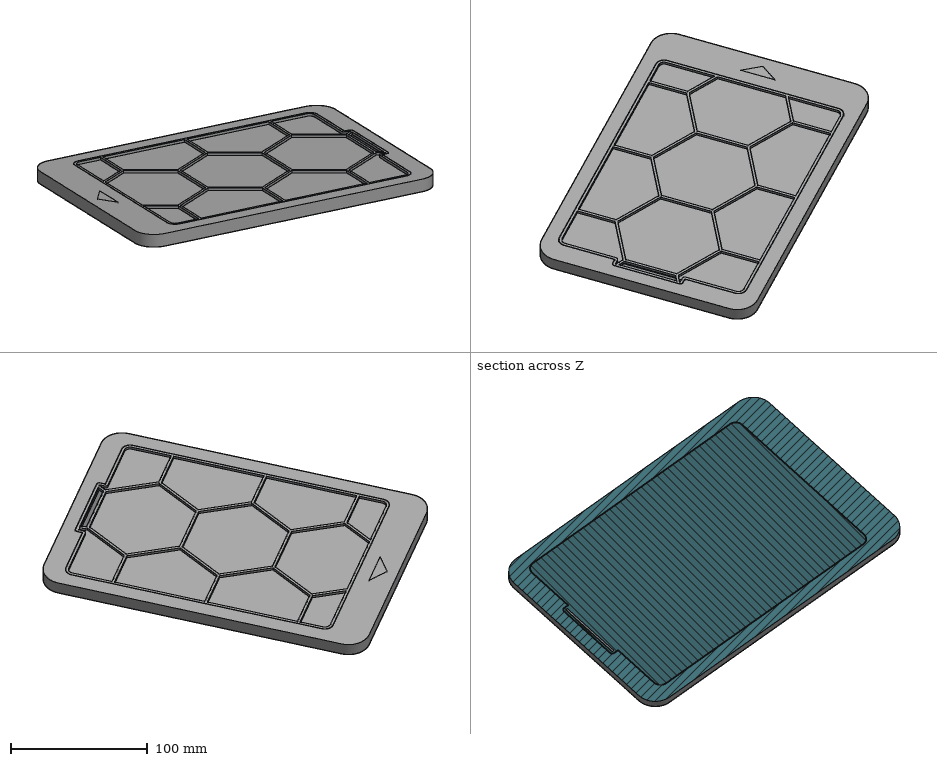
import cadquery as cq
import math

TRAY_WIDTH = 170.0
TRAY_LENGTH = 250.0
TRAY_HEIGHT = 10.0
TRAY_CORNER_RADIUS = 16.0

LID_WIDTH = 147.0
LID_Y_MIN = -96.5
LID_Y_MAX = 108.5
LID_CORNER_RADIUS = 6.2
TAB_WIDTH = 55.0
TAB_LENGTH = 6.0
TAB_CORNER_RADIUS = 2.0
LID_CLEARANCE = 0.2

PANEL_THICKNESS = 4.0
LATTICE_THICKNESS = 2.0
RIB_WIDTH = 2.0
RIM_WIDTH = RIB_WIDTH
CELL_SIDE = 40.0
HEX_PITCH = CELL_SIDE * math.sqrt(3) + RIB_WIDTH
HEX_CENTER_Y = -0.2

RAMP_ANGLE = 35.5

ARROW_WIDTH = 27.0
ARROW_LENGTH = 9.8
ARROW_BASE_Y = -107.0
ARROW_THICKNESS = 2.0

LATTICE_BOTTOM = TRAY_HEIGHT - LATTICE_THICKNESS
PANEL_BOTTOM = LATTICE_BOTTOM - PANEL_THICKNESS
ARROW_BOTTOM = TRAY_HEIGHT - ARROW_THICKNESS


def lid_outline():
    """Closed wire around the lid and its tab, at Z = 0."""
    panel = (
        cq.Workplane("XY")
        .center(0, (LID_Y_MIN + LID_Y_MAX) / 2)
        .rect(LID_WIDTH, LID_Y_MAX - LID_Y_MIN)
        .extrude(2.5)
        .edges("|Z")
        .fillet(LID_CORNER_RADIUS)
    )
    tab = (
        cq.Workplane("XY")
        .center(0, LID_Y_MAX)
        .rect(TAB_WIDTH, 2 * TAB_LENGTH)
        .extrude(2.5)
        .edges("|Z and >Y")
        .fillet(TAB_CORNER_RADIUS)
    )
    return panel.union(tab).faces("<Z").wires().val()


def lid_layer(bottom, thickness, growth=0.0):
    """Slab with the lid outline, its sides moved outward by the growth."""
    outline = lid_outline()
    wires = outline.offset2D(growth) if growth else [outline]
    return (
        cq.Workplane("XY")
        .newObject(wires)
        .toPending()
        .extrude(thickness)
        .translate((0, 0, bottom))
    )


def make_arrow():
    """Triangular inlay pointing toward -Y."""
    corners = [
        (-ARROW_WIDTH / 2, ARROW_BASE_Y),
        (ARROW_WIDTH / 2, ARROW_BASE_Y),
        (0, ARROW_BASE_Y - ARROW_LENGTH),
    ]
    return (
        cq.Workplane("XY", origin=(0, 0, ARROW_BOTTOM))
        .polyline(corners)
        .close()
        .extrude(ARROW_THICKNESS)
    )


def make_tray():
    """Rounded slab with a pocket for the lid and a recess for the arrow."""
    slab = (
        cq.Workplane("XY")
        .rect(TRAY_WIDTH, TRAY_LENGTH)
        .extrude(TRAY_HEIGHT)
        .edges("|Z")
        .fillet(TRAY_CORNER_RADIUS)
    )
    pocket = lid_layer(PANEL_BOTTOM, TRAY_HEIGHT - PANEL_BOTTOM, LID_CLEARANCE)
    return slab.cut(pocket).cut(make_arrow())


def make_panel():
    """Floor of the lid, with the finger ramp cut in under the tab."""
    ramp_end = LID_Y_MAX + TAB_LENGTH - RIM_WIDTH
    ramp_drop = (ramp_end - LID_Y_MAX) * math.tan(math.radians(RAMP_ANGLE))
    profile = [
        (LID_Y_MAX, LATTICE_BOTTOM),
        (ramp_end, LATTICE_BOTTOM - ramp_drop),
        (ramp_end, LATTICE_BOTTOM),
    ]
    half_ramp_width = TAB_WIDTH / 2 - RIM_WIDTH
    ramp = cq.Workplane("YZ").polyline(profile).close().extrude(half_ramp_width, both=True)
    return lid_layer(PANEL_BOTTOM, PANEL_THICKNESS).cut(ramp)


def make_honeycomb():
    """Hexagonal prisms that fill the cells, one rib width apart."""
    column_pitch = HEX_PITCH * math.sqrt(3) / 2
    centers = [(0, row * HEX_PITCH) for row in (-1, 0, 1, 2)]
    for x in (-column_pitch, column_pitch):
        centers += [(x, (row + 0.5) * HEX_PITCH) for row in (-2, -1, 0, 1)]
    return (
        cq.Workplane("XY", origin=(0, HEX_CENTER_Y, LATTICE_BOTTOM))
        .pushPoints(centers)
        .polygon(6, 2 * CELL_SIDE)
        .extrude(LATTICE_THICKNESS)
    )


def make_lattice():
    """Ribs between the honeycomb cells, framed by a rim along the lid outline."""
    inside_rim = lid_layer(LATTICE_BOTTOM, LATTICE_THICKNESS, -RIM_WIDTH)
    cells = make_honeycomb().intersect(inside_rim)
    return lid_layer(LATTICE_BOTTOM, LATTICE_THICKNESS).cut(cells)


tray = make_tray().solids()
panel = make_panel().solids()
lattice = make_lattice().solids()
arrow = make_arrow().solids()

result = cq.Compound.makeCompound([tray.val(), panel.val(), lattice.val(), arrow.val()])